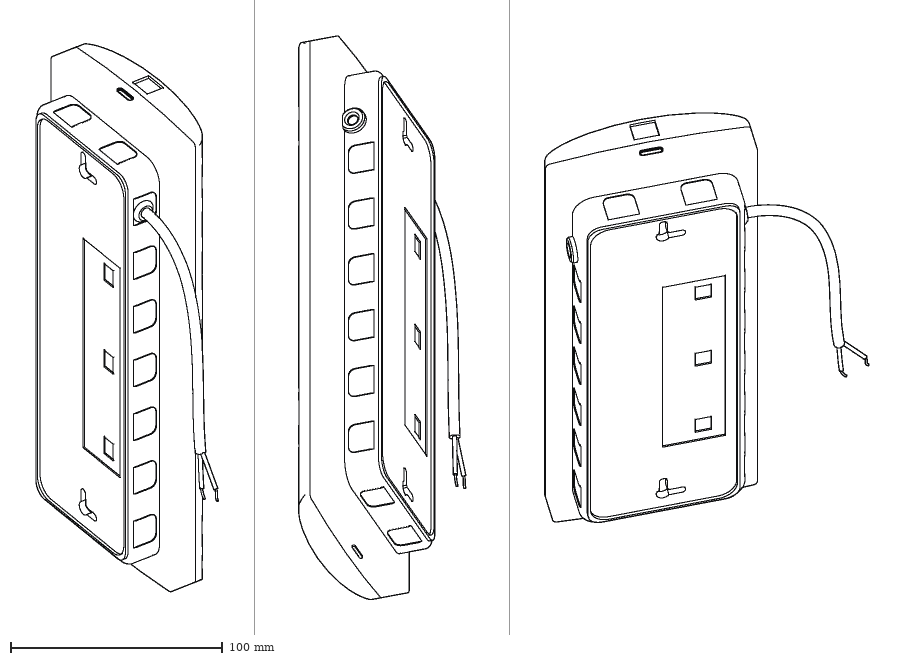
import cadquery as cq

OUTER_WIDTH = 100.0
TOP_Z = 129.5
BOTTOM_Z = -128.7
END_RISE = 2.8
CORNER_RADIUS = 2.3

BOX_BACK_Y = 1.5
RIM_BACK_Y = 17.4
SEAM_Y = 31.3
ELLIPSE_BASE_Y = 33.5
LENS_CROWN_Y = 45.5
RIM_BACK_FILLET = 0.8

BOX_WIDTH = 80.8
BOX_HEIGHT = 226.9
BOX_CORNER_RADIUS = 10.4
BOX_FILLET = 2.8
LIP_INSET = 3.4
LIP_WIDTH = 1.3
LIP_OUTER_RADIUS = 7.0
LIP_INNER_RADIUS = 9.0

KNOCKOUT_WIDTH = 15.3
KNOCKOUT_TOP_Y = 15.5
KNOCKOUT_DEPTH = 0.5
KNOCKOUT_RADIUS = 3.4
LEFT_KNOCKOUT_COUNT = 6
RIGHT_KNOCKOUT_COUNT = 7
SIDE_KNOCKOUT_PITCH = 30.8
LOWEST_KNOCKOUT_Z = -92.0
END_KNOCKOUT_X = 19.0

LABEL_WIDTH = 30.5
LABEL_HEIGHT = 120.2
LABEL_X = 15.0
LABEL_Z = -4.1
LABEL_DEPTH = 0.8
WINDOW_WIDTH = 7.8
WINDOW_HEIGHT = 9.5
WINDOW_X = 19.7
WINDOW_PITCH = 49.7
WINDOW_DEPTH = 1.5

KEYHOLE_CENTERS_Z = (94.3, -99.0)
KEYHOLE_RADIUS = 3.4
KEYHOLE_SLOT_WIDTH = 4.0
KEYHOLE_REACH = 11.0
KEYHOLE_DEPTH = 4.0

NOTCH_WIDTH = 12.2
NOTCH_BOTTOM_Y = 34.2
NOTCH_TOP_Y = 43.5
NOTCH_DEPTH = 1.5
LATCH_LENGTH = 11.5
LATCH_WIDTH = 3.0
LATCH_Y = 25.6
SLOT_DEPTH = 1.0
SLOT_STEP = 0.5
BUTTON_WIDTH = 1.5
BUTTON_HEIGHT = 0.8

BOSS_Y = 12.7
BOSS_Z = 83.0
BOSS_RADIUS = 6.2
BOSS_HEIGHT = 2.8
BOSS_CHAMFER = 0.8
BOSS_HOLE_RADIUS = 2.5
BOSS_HOLE_CHAMFER = 1.0
BOSS_HOLE_DEPTH = 2.0

CABLE_Y = 8.3
CABLE_Z = 91.5
SHEATH_RADIUS = 2.5
WIRE_RADIUS = 1.0
CONDUCTOR_RADIUS = 0.5
GROMMET_RADIUS = 5.7
GROMMET_TIP_RADIUS = 4.0
GROMMET_LENGTH = 2.0
SHEATH_ROOT_X = 38.8
SHEATH_PATH = [
    (SHEATH_ROOT_X, CABLE_Z), (50.8, 91.0), (65.0, 84.5), (74.5, 73.8), (79.5, 62.7),
    (84.7, 33.0), (86.0, -6.2), (87.3, -20.0),
]
SHORT_WIRE_PATH = [(87.0, -18.0), (87.5, -29.8), (88.3, -40.1)]
SHORT_CONDUCTOR_PATH = [(88.0, -39.4), (89.5, -44.0), (90.6, -45.3)]
LONG_WIRE_PATH = [(87.8, -18.0), (94.5, -27.0), (100.0, -34.2)]
LONG_CONDUCTOR_PATH = [(99.5, -34.0), (100.5, -36.8), (100.7, -39.4), (101.5, -40.1)]

HALF_WIDTH = OUTER_WIDTH / 2
HALF_BOX_WIDTH = BOX_WIDTH / 2
HALF_BOX_HEIGHT = BOX_HEIGHT / 2


def wall_plane(y):
    """Plane across Y at depth y, with local axes -X and Z, extruding toward +Y."""
    return cq.Workplane(cq.Plane(origin=(0, y, 0), xDir=(-1, 0, 0), normal=(0, 1, 0)))


def block(x_range, y_range, z_range):
    """Box between the given limits."""
    (x0, x1), (y0, y1), (z0, z1) = x_range, y_range, z_range
    return cq.Workplane("XY").box(x1 - x0, y1 - y0, z1 - z0, centered=False).translate((x0, y0, z0))


def outline_prism(y0, y1):
    """The rounded outline with bowed ends, filled from y0 to y1."""
    return (
        wall_plane(y0)
        .moveTo(-HALF_WIDTH, BOTTOM_Z + END_RISE)
        .threePointArc((0, BOTTOM_Z), (HALF_WIDTH, BOTTOM_Z + END_RISE))
        .lineTo(HALF_WIDTH, TOP_Z - END_RISE)
        .threePointArc((0, TOP_Z), (-HALF_WIDTH, TOP_Z - END_RISE))
        .close()
        .extrude(y1 - y0)
        .edges("|Y")
        .fillet(CORNER_RADIUS)
    )


def obround_prism(length, width, z0, z1):
    """Upright obround on the rim ends, from z0 to z1."""
    return cq.Workplane("XY", origin=(0, LATCH_Y, z0)).slot2D(length, width).extrude(z1 - z0)


def make_lens():
    """Half-elliptic dome with a shallow recess in its upper end."""
    dome = (
        cq.Workplane("XY", origin=(0, 0, BOTTOM_Z))
        .moveTo(-HALF_WIDTH, SEAM_Y)
        .lineTo(HALF_WIDTH, SEAM_Y)
        .lineTo(HALF_WIDTH, ELLIPSE_BASE_Y)
        .ellipseArc(HALF_WIDTH, LENS_CROWN_Y - ELLIPSE_BASE_Y, 0, 180, startAtCurrent=True)
        .close()
        .extrude(TOP_Z - BOTTOM_Z)
    )
    notch = block(
        (-NOTCH_WIDTH / 2, NOTCH_WIDTH / 2),
        (NOTCH_BOTTOM_Y, NOTCH_TOP_Y),
        (TOP_Z - NOTCH_DEPTH, TOP_Z),
    )
    return dome.intersect(outline_prism(SEAM_Y, LENS_CROWN_Y)).cut(notch)


def make_rim():
    """Rim with a stepped slot in its upper end and a button on its lower end."""
    rim = outline_prism(RIM_BACK_Y, SEAM_Y).faces("<Y").edges().fillet(RIM_BACK_FILLET)
    slot = obround_prism(LATCH_LENGTH - 2 * SLOT_STEP, LATCH_WIDTH - 2 * SLOT_STEP, TOP_Z - SLOT_DEPTH, TOP_Z)
    mouth = obround_prism(LATCH_LENGTH, LATCH_WIDTH, TOP_Z - SLOT_STEP, TOP_Z)
    button = obround_prism(LATCH_LENGTH, BUTTON_WIDTH, BOTTOM_Z - BUTTON_HEIGHT, BOTTOM_Z + END_RISE)
    return rim.cut(slot).cut(mouth).union(button)


def lip_prism(inset, corner_radius):
    """Rounded rectangle set in from the box sides by inset, filled from the wall to the back of the box."""
    return (
        wall_plane(0)
        .rect(BOX_WIDTH - 2 * inset, BOX_HEIGHT - 2 * inset)
        .extrude(BOX_BACK_Y)
        .edges("|Y")
        .fillet(corner_radius)
    )


def make_box():
    """Back box with a rounded back edge and a narrow lip standing around its back."""
    box = (
        wall_plane(BOX_BACK_Y)
        .rect(BOX_WIDTH, BOX_HEIGHT)
        .extrude(RIM_BACK_Y - BOX_BACK_Y)
        .edges("|Y")
        .fillet(BOX_CORNER_RADIUS)
        .faces("<Y")
        .edges()
        .fillet(BOX_FILLET)
    )
    lip = lip_prism(LIP_INSET, LIP_OUTER_RADIUS).cut(lip_prism(LIP_INSET + LIP_WIDTH, LIP_INNER_RADIUS))
    return box.union(lip)


def knockout(x, z, turn):
    """Tab-shaped cutter across the wall at (x, z), facing along Z before the turn about Y."""
    tab = (
        block(
            (-KNOCKOUT_WIDTH / 2, KNOCKOUT_WIDTH / 2),
            (0, KNOCKOUT_TOP_Y),
            (-KNOCKOUT_DEPTH, KNOCKOUT_DEPTH),
        )
        .edges("|Z and >Y")
        .fillet(KNOCKOUT_RADIUS)
    )
    return tab.rotate((0, 0, 0), (0, 1, 0), turn).translate((x, 0, z))


def cut_knockouts(body):
    """Recesses along both long walls and two in each end wall."""
    for side, count in ((-1, LEFT_KNOCKOUT_COUNT), (1, RIGHT_KNOCKOUT_COUNT)):
        for i in range(count):
            z = LOWEST_KNOCKOUT_Z + i * SIDE_KNOCKOUT_PITCH
            body = body.cut(knockout(side * HALF_BOX_WIDTH, z, 90))
    for x in (-END_KNOCKOUT_X, END_KNOCKOUT_X):
        for end in (-1, 1):
            body = body.cut(knockout(x, end * HALF_BOX_HEIGHT, 0))
    return body


def cut_label_recess(body):
    """Shallow label recess with three deeper windows."""
    body = body.cut(
        wall_plane(BOX_BACK_Y).center(-LABEL_X, LABEL_Z).rect(LABEL_WIDTH, LABEL_HEIGHT).extrude(LABEL_DEPTH)
    )
    windows = (
        wall_plane(BOX_BACK_Y)
        .center(-WINDOW_X, LABEL_Z)
        .rarray(2.5, WINDOW_PITCH, 1, 3)
        .rect(WINDOW_WIDTH, WINDOW_HEIGHT)
        .extrude(WINDOW_DEPTH)
    )
    return body.cut(windows)


def keyhole(z):
    """Round head with one slot going up and one going toward +X."""
    slot_length = KEYHOLE_REACH + KEYHOLE_SLOT_WIDTH / 2
    slot_center = slot_length / 2 - KEYHOLE_SLOT_WIDTH / 2
    slot = wall_plane(BOX_BACK_Y).slot2D(slot_length, KEYHOLE_SLOT_WIDTH).extrude(KEYHOLE_DEPTH)
    head = wall_plane(BOX_BACK_Y).circle(KEYHOLE_RADIUS).extrude(KEYHOLE_DEPTH)
    up = slot.rotate((0, 0, 0), (0, 1, 0), 90).translate((0, 0, slot_center))
    across = slot.translate((slot_center, 0, 0))
    return head.union(up).union(across).translate((0, 0, z))


def make_boss():
    """Screw boss on the -X wall, with a chamfered blind hole."""
    outward = cq.Plane(origin=(-HALF_BOX_WIDTH, BOSS_Y, BOSS_Z), xDir=(0, 1, 0), normal=(-1, 0, 0))
    boss = cq.Workplane(outward).circle(BOSS_RADIUS).extrude(BOSS_HEIGHT).faces("<X").chamfer(BOSS_CHAMFER)
    hole_floor = outward.origin + outward.zDir * (BOSS_HEIGHT - BOSS_HOLE_DEPTH)
    hole = (
        cq.Workplane(cq.Plane(origin=hole_floor, xDir=outward.xDir, normal=outward.zDir))
        .circle(BOSS_HOLE_RADIUS)
        .extrude(BOSS_HOLE_DEPTH)
    )
    rims = boss.cut(hole).faces("<X").edges("%CIRCLE")
    return rims.edges(cq.selectors.RadiusNthSelector(0)).chamfer(BOSS_HOLE_CHAMFER)


def strand(points, radius):
    """Round strand swept along a smooth curve through (X, Z) points at the cable depth."""
    path = cq.Workplane("XY").spline([(x, CABLE_Y, z) for x, z in points])
    edge = path.val()
    start = cq.Plane(origin=edge.startPoint(), normal=edge.tangentAt(0))
    return cq.Workplane(start).circle(radius).sweep(path)


def make_cable():
    """Grommet, sheath and two wires with bare ends."""
    grommet = (
        cq.Workplane("YZ", origin=(HALF_BOX_WIDTH - KNOCKOUT_DEPTH, CABLE_Y, CABLE_Z))
        .circle(GROMMET_RADIUS)
        .workplane(offset=GROMMET_LENGTH)
        .circle(GROMMET_TIP_RADIUS)
        .loft()
    )
    cable = grommet.union(strand(SHEATH_PATH, SHEATH_RADIUS))
    for path in (SHORT_WIRE_PATH, LONG_WIRE_PATH):
        cable = cable.union(strand(path, WIRE_RADIUS))
    for path in (SHORT_CONDUCTOR_PATH, LONG_CONDUCTOR_PATH):
        cable = cable.union(strand(path, CONDUCTOR_RADIUS))
    return cable


def make_housing():
    """Rim, back box, boss and cable as one piece."""
    body = cut_label_recess(cut_knockouts(make_box()))
    for z in KEYHOLE_CENTERS_Z:
        body = body.cut(keyhole(z))
    return body.union(make_rim()).union(make_boss()).union(make_cable())


lens = make_lens()
housing = make_housing()
result = cq.Compound.makeCompound([lens.val(), housing.val()])